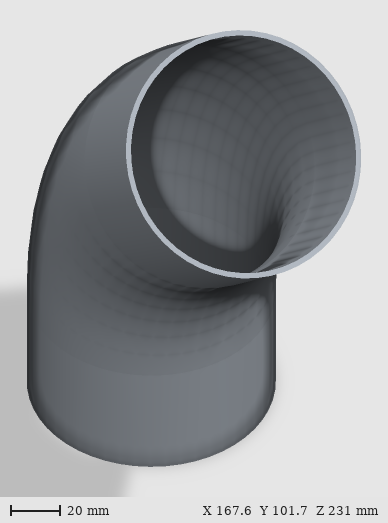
import cadquery as cq
import math

total_height = 231.0
outer_diameter = 101.7
inner_diameter = 97.3
bend_radius = 152.3
bend_angle = 45.0

outer_radius = outer_diameter / 2
angle = math.radians(bend_angle)
leg_length = (total_height - (bend_radius + outer_radius) * math.sin(angle)) / (1 + math.sin(angle))


def centreline_point(turned):
    """Point on the bend's centreline after turning by the given angle from vertical."""
    x = bend_radius * (1 - math.cos(turned))
    z = leg_length + bend_radius * math.sin(turned)
    return x, z


bend_end = centreline_point(angle)
upper_end = (
    bend_end[0] + leg_length * math.sin(angle),
    bend_end[1] + leg_length * math.cos(angle),
)
centreline = (
    cq.Workplane("XZ")
    .moveTo(0, 0)
    .lineTo(0, leg_length)
    .threePointArc(centreline_point(angle / 2), bend_end)
    .lineTo(*upper_end)
)

ring = cq.Workplane("XY").circle(outer_radius).circle(inner_diameter / 2)
result = ring.sweep(centreline)